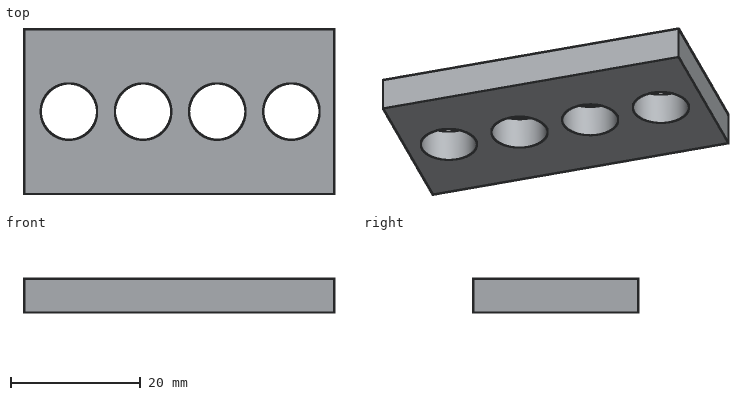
import cadquery as cq

length = 47.75
width = 25.4
thickness = 5.25

hole_diameter = 8.65
hole_count = 4
hole_pitch = 11.4
row_offset_x = 0.15

plate = cq.Workplane("XY").box(length, width, thickness)

result = (
    plate.faces(">Z")
    .workplane()
    .center(row_offset_x, 0)
    .rarray(hole_pitch, 0.5, hole_count, 1)
    .hole(hole_diameter)
)